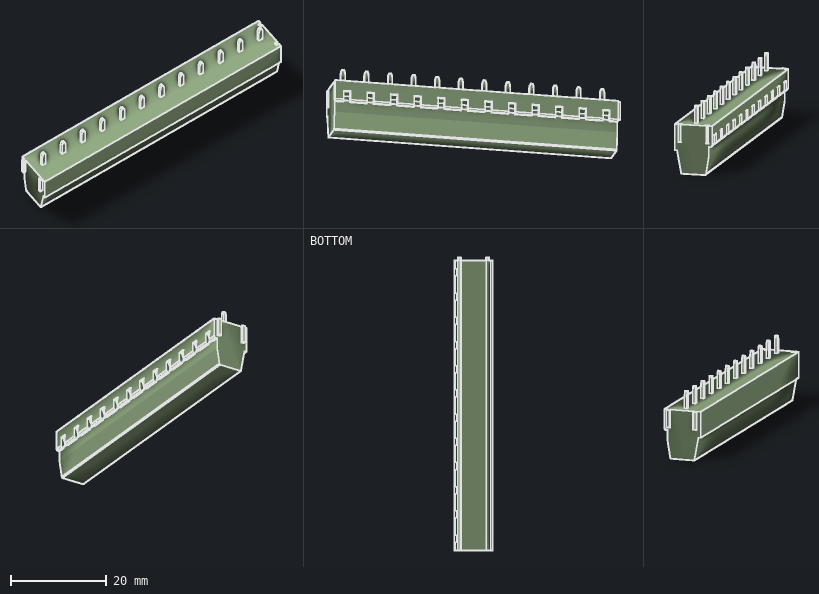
import cadquery as cq
import math

overall_length = 61.55
contacts = 12
pitch = 5.08
row_length = contacts * pitch

housing_width = 8.1
housing_height = 10.6
half_width = housing_width / 2

lip_thickness = 0.75
lip_height = 4.5
lip_chamfer_height = 0.4
lip_chamfer_depth = 0.25
straight_wall_height = 6.8
foot_inset_left = 1.5
foot_chamfer_height = 0.25
foot_chamfer_depth = 0.155

shoulder_height = 5.6
shoulder_inset = 0.5
foot_inset_right = 1.4

pin_thickness = 0.55
pin_width = 0.9
pin_height = 3.7
pin_embedment = 0.6
tip_radius = 1.9
tip_inset = 0.28

window_width = 1.5
window_top = 2.2
ramp_drop = 0.9
window_bottom = 4.1
window_depth = 0.9
ramp_depth = 0.4

rib_offset = 0.8
rib_root_width = 0.5
rib_neck = 0.2
rib_outer_flare = 0.05
rib_inner_flare = 0.25
rib_nose_chamfer = 0.2
rib_height = 3.8
rib_depth = overall_length - row_length

contact_places = [(i + 0.5) * pitch for i in range(contacts)]


def make_housing():
    wall_x = -half_width + lip_thickness
    lip_z = housing_height - lip_height
    shoulder_z = housing_height - shoulder_height
    foot_x = -half_width + foot_inset_left
    outline = [
        (-half_width, housing_height),
        (-half_width, lip_z + lip_chamfer_height),
        (-half_width + lip_chamfer_depth, lip_z),
        (wall_x, lip_z),
        (wall_x, housing_height - straight_wall_height),
        (foot_x - foot_chamfer_depth, foot_chamfer_height),
        (foot_x, 0),
        (half_width - foot_inset_right, 0),
        (half_width - shoulder_inset, shoulder_z),
        (half_width, shoulder_z),
        (half_width, housing_height),
    ]
    return cq.Workplane("XZ").polyline(outline).close().extrude(-row_length)


def make_pin(y):
    half = pin_width / 2
    tip_half = half - tip_inset
    tip_height = math.sqrt(tip_radius**2 - (tip_radius - tip_inset) ** 2)
    top = housing_height + pin_height
    tip_start = top - tip_height
    root = housing_height - pin_embedment
    return (
        cq.Workplane("YZ", origin=(-pin_thickness / 2, y, 0))
        .moveTo(-half, root)
        .lineTo(half, root)
        .lineTo(half, tip_start)
        .radiusArc((tip_half, top), -tip_radius)
        .lineTo(-tip_half, top)
        .radiusArc((-half, tip_start), -tip_radius)
        .close()
        .extrude(pin_thickness)
    )


def make_window(y):
    outer_x = -half_width
    inner_x = outer_x + window_depth
    top = housing_height - window_top
    bottom = housing_height - window_bottom
    lip_z = housing_height - lip_height
    wall_x = outer_x + lip_thickness
    outline = [
        (outer_x, top),
        (inner_x - ramp_depth, top),
        (inner_x, top - ramp_drop),
        (inner_x, bottom),
        (wall_x, bottom),
        (wall_x, lip_z),
        (outer_x, lip_z),
    ]
    return (
        cq.Workplane("XZ", origin=(0, y - window_width / 2, 0))
        .polyline(outline)
        .close()
        .extrude(-window_width)
    )


def make_rib(side, root_y):
    """Barbed key that widens toward -Y; side is -1 for -X, +1 for +X."""
    outer_x = half_width - rib_offset
    inner_x = outer_x - rib_root_width
    barb_x = inner_x - rib_inner_flare
    neck_y = root_y - rib_neck
    nose_y = root_y - rib_depth
    outline = [
        (side * outer_x, root_y),
        (side * outer_x, neck_y),
        (side * (outer_x + rib_outer_flare), nose_y),
        (side * (barb_x + rib_nose_chamfer), nose_y),
        (side * barb_x, nose_y + rib_nose_chamfer),
        (side * inner_x, neck_y),
        (side * inner_x, root_y),
    ]
    base_z = housing_height - rib_height
    return cq.Workplane("XY", origin=(0, 0, base_z)).polyline(outline).close().extrude(rib_height)


result = make_housing()
for y in contact_places:
    result = result.cut(make_window(y)).union(make_pin(y))
for side in (-1, 1):
    result = result.cut(make_rib(side, row_length)).union(make_rib(side, 0))